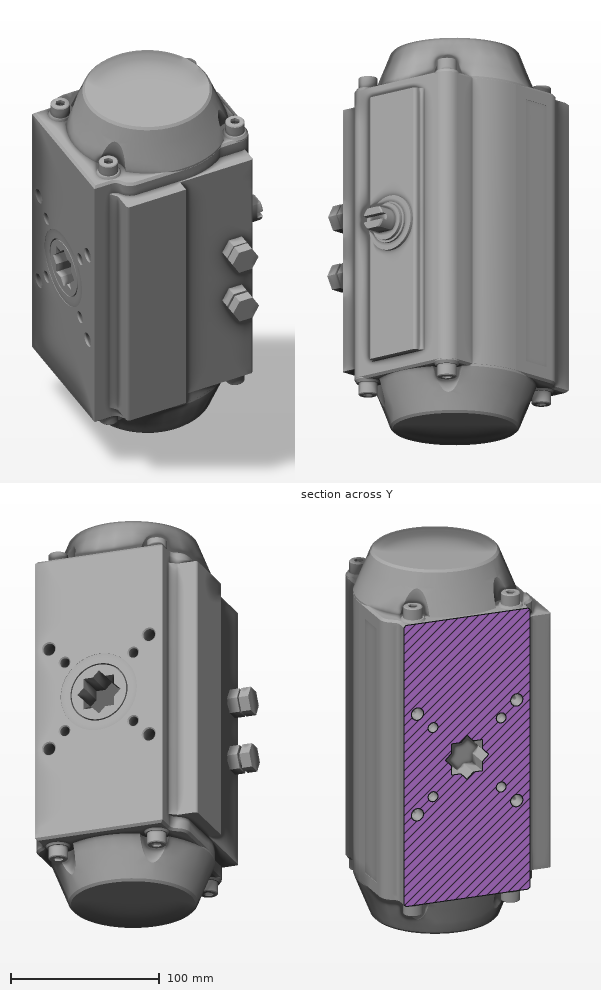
import cadquery as cq
import math

CYLINDER_R = 55.0
HOUSING_HALF_LENGTH = 100.9
END_CHAMFER = 1.6
BASE_Y = -63.4
BASE_HALF_WIDTH = 46.0
TOP_Y = 57.0
EAR_R = 9.0
FLANK_LOW_Y = -36.0
FLANK_TURN = (49.2, -45.3)
BASE_WALL_TOP_Y = -50.0

RAIL_HALF_LENGTH = 91.0
PAD_Y = 63.6
PAD_HALF_WIDTH = 21.0
PAD_BLEND = 2.2

PORT_UPPER_X = 56.2
PORT_LOWER_X = 65.0
PORT_TOP_Y = 51.2
PORT_STEP_Y = -4.0
PORT_BOTTOM_Y = -48.2
PORT_FOOT = (51.0, -48.2)
PORT_ROOT_Y = -52.0
PORT_FILLET = 2.0
PORT_TOP_CHAMFER = 1.2

LABEL_Y = (-31.0, -10.0)
LABEL_DEPTH = 0.3

CAP_ROOT_Z = 90.0
CAP_TOP_Z = 130.5
CAP_BASE_R = 54.9
CAP_TOP_R = 43.6
CAP_ROUND = 1.6
CAP_SHOULDER_Z = 128.9
SCALLOP_R = 11.5
BOLT_X = 35.5
BOLT_Y = (48.0, -47.5)
BOSS_BASE_R = 8.9
BOSS_TOP_R = 7.5
BOSS_TOP_Z = 102.3
BOSS_RIM_Z = 100.3
BOLT_HEAD_R = 6.5
BOLT_HEAD_HEIGHT = 8.0
BOLT_HEAD_CHAMFER = 0.6
BOLT_SOCKET_AF = 6.0
BOLT_SOCKET_DEPTH = 4.0

SHAFT_TOP_Y = 83.3
SHAFT_R = 8.9
SHAFT_FLATS = 14.0
SHAFT_CHAMFER = 0.8
SHAFT_SLOT_WIDTH = 4.2
SHAFT_SLOT_DEPTH = 4.5
COLLARS = ((18.75, 65.9), (14.0, 67.5), (12.5, 69.9))

SPIGOT_R = 27.5
SPIGOT_DEPTH = 0.3
PINION_OUTER_R = 20.6
PINION_INNER_R = 19.7
PINION_GAP_DEPTH = 3.0
STAR_SIDE = 22.0
STAR_DEPTH = 24.0
TAPPED_HOLES = (
    (102.0, 8.5, 10.2, 16.0),
    (70.0, 6.8, 8.5, 13.0),
)
DRILL_POINT_HALF_ANGLE = math.radians(59)

STOP_Y = 37.3
STOP_Z = 20.5
STOP_AF = 17.0
STOP_SHANK_R = 6.0
STOP_WASHER_R = 7.5
STOP_ROOT_DEPTH = 1.0
NUT_X = (57.0, 64.1)
STOP_HEAD_LENGTH = 7.0
STOP_HEAD_END = ((STOP_Z, 72.2), (-STOP_Z, 73.0))


def extrude_z(profile, half_length):
    return profile.extrude(half_length, both=True)


def y_cylinder(radius, y_low, y_high):
    plane = cq.Workplane("XZ", origin=(0, y_low, 0))
    return plane.circle(radius).extrude(y_low - y_high)


def make_housing():
    side_x = BOLT_X + EAR_R
    side_meet_y = math.sqrt(CYLINDER_R**2 - side_x**2)
    ear_y = TOP_Y - EAR_R
    bulge = math.atan2(side_meet_y, side_x) / 2
    bulge_x = CYLINDER_R * math.cos(bulge)
    bulge_y = CYLINDER_R * math.sin(bulge)
    ear_mid = EAR_R * math.sqrt(0.5)
    turn_x, turn_y = FLANK_TURN
    profile = (
        cq.Workplane("XY")
        .moveTo(0, TOP_Y)
        .lineTo(-BOLT_X, TOP_Y)
        .threePointArc((-BOLT_X - ear_mid, ear_y + ear_mid), (-side_x, ear_y))
        .lineTo(-side_x, side_meet_y)
        .threePointArc((-bulge_x, bulge_y), (-CYLINDER_R, 0))
        .lineTo(-CYLINDER_R, FLANK_LOW_Y)
        .tangentArcPoint((-turn_x, turn_y), relative=False)
        .tangentArcPoint((-BASE_HALF_WIDTH, BASE_WALL_TOP_Y), relative=False)
        .lineTo(-BASE_HALF_WIDTH, BASE_Y)
        .lineTo(0, BASE_Y)
        .mirrorY()
    )
    housing = extrude_z(profile, HOUSING_HALF_LENGTH)
    return housing.faces("|Z").edges().chamfer(END_CHAMFER)


def make_top_pad():
    half = PAD_HALF_WIDTH
    blend = PAD_BLEND
    profile = (
        cq.Workplane("XY")
        .moveTo(-half, 0)
        .lineTo(-half - blend, 0)
        .lineTo(-half - blend, TOP_Y)
        .tangentArcPoint((-half, TOP_Y + blend), relative=False)
        .lineTo(-half, PAD_Y - blend)
        .tangentArcPoint((-half + blend, PAD_Y), relative=False)
        .lineTo(0, PAD_Y)
        .lineTo(0, 0)
        .close()
    )
    left = extrude_z(profile, RAIL_HALF_LENGTH)
    return left.union(left.mirror("YZ"))


def make_port_block():
    profile = (
        cq.Workplane("XY")
        .moveTo(0, PORT_TOP_Y)
        .lineTo(PORT_UPPER_X - PORT_TOP_CHAMFER, PORT_TOP_Y)
        .lineTo(PORT_UPPER_X, PORT_TOP_Y - PORT_TOP_CHAMFER)
        .lineTo(PORT_UPPER_X, PORT_STEP_Y)
        .lineTo(PORT_LOWER_X, PORT_STEP_Y)
        .lineTo(PORT_LOWER_X, PORT_BOTTOM_Y + PORT_FILLET)
        .tangentArcPoint((PORT_LOWER_X - PORT_FILLET, PORT_BOTTOM_Y), relative=False)
        .lineTo(*PORT_FOOT)
        .lineTo(BASE_HALF_WIDTH, PORT_ROOT_Y)
        .lineTo(0, PORT_ROOT_Y)
        .close()
    )
    return extrude_z(profile, RAIL_HALF_LENGTH)


def make_label_recess():
    y_low, y_high = LABEL_Y
    recess = cq.Workplane("XY").box(LABEL_DEPTH, y_high - y_low, 2 * RAIL_HALF_LENGTH)
    return recess.translate((-CYLINDER_R + LABEL_DEPTH / 2, (y_low + y_high) / 2, 0))


def make_bolt(x, y):
    rim_root_z = HOUSING_HALF_LENGTH - END_CHAMFER
    rim = cq.Workplane("XY", origin=(x, y, rim_root_z)).circle(BOSS_BASE_R).extrude(BOSS_RIM_Z - rim_root_z)
    cone_height = BOSS_TOP_Z - BOSS_RIM_Z
    taper = math.degrees(math.atan((BOSS_BASE_R - BOSS_TOP_R) / cone_height))
    cone_plane = cq.Workplane("XY", origin=(x, y, BOSS_RIM_Z))
    cone = cone_plane.circle(BOSS_BASE_R).extrude(cone_height, taper=taper)
    head = (
        cq.Workplane("XY", origin=(x, y, BOSS_TOP_Z))
        .circle(BOLT_HEAD_R)
        .extrude(BOLT_HEAD_HEIGHT)
        .faces(">Z")
        .chamfer(BOLT_HEAD_CHAMFER)
        .faces(">Z")
        .workplane()
        .polygon(6, BOLT_SOCKET_AF, circumscribed=True)
        .cutBlind(-BOLT_SOCKET_DEPTH)
    )
    return rim.union(cone).union(head)


def make_end_cap():
    dome = (
        cq.Workplane("XZ")
        .moveTo(0, CAP_ROOT_Z)
        .lineTo(CAP_BASE_R, CAP_ROOT_Z)
        .lineTo(CAP_BASE_R, HOUSING_HALF_LENGTH)
        .lineTo(CAP_TOP_R, CAP_SHOULDER_Z)
        .lineTo(CAP_TOP_R - CAP_ROUND, CAP_TOP_Z)
        .lineTo(0, CAP_TOP_Z)
        .close()
        .revolve(360, (0, 0, 0), (0, 1, 0))
    )
    spots = [(x, y) for x in (-BOLT_X, BOLT_X) for y in BOLT_Y]
    scallops = (
        cq.Workplane("XY", origin=(0, 0, HOUSING_HALF_LENGTH))
        .pushPoints(spots)
        .circle(SCALLOP_R)
        .extrude(CAP_TOP_Z)
    )
    cap = dome.cut(scallops)
    for x, y in spots:
        cap = cap.union(make_bolt(x, y))
    return cap


def make_shaft():
    shaft = y_cylinder(SHAFT_R, 0, SHAFT_TOP_Y).faces(">Y").chamfer(SHAFT_CHAMFER)
    flats = cq.Workplane("XY").box(2 * SHAFT_R, 2 * SHAFT_TOP_Y, SHAFT_FLATS)
    slot = cq.Workplane("XY").box(2 * SHAFT_R, 2 * SHAFT_SLOT_DEPTH, SHAFT_SLOT_WIDTH)
    shaft = shaft.intersect(flats).cut(slot.translate((0, SHAFT_TOP_Y, 0)))
    for radius, top_y in COLLARS:
        shaft = shaft.union(y_cylinder(radius, 0, top_y))
    return shaft


def make_mounting_cuts():
    cuts = y_cylinder(SPIGOT_R, BASE_Y, BASE_Y + SPIGOT_DEPTH)
    gap_end = BASE_Y + PINION_GAP_DEPTH
    gap = y_cylinder(PINION_OUTER_R, BASE_Y, gap_end).cut(y_cylinder(PINION_INNER_R, BASE_Y, gap_end))
    cuts = cuts.union(gap)
    square = cq.Workplane("XY").box(STAR_SIDE, STAR_DEPTH, STAR_SIDE)
    star = square.union(square.rotate((0, 0, 0), (0, 1, 0), 45))
    cuts = cuts.union(star.translate((0, BASE_Y + STAR_DEPTH / 2, 0)))
    for pitch_circle, bore, mouth, depth in TAPPED_HOLES:
        mouth_depth = (mouth - bore) / 2
        point_depth = bore / 2 / math.tan(DRILL_POINT_HALF_ANGLE)
        hole = (
            cq.Workplane("XY")
            .moveTo(0, 0)
            .lineTo(mouth / 2, 0)
            .lineTo(bore / 2, mouth_depth)
            .lineTo(bore / 2, depth)
            .lineTo(0, depth + point_depth)
            .close()
            .revolve(360, (0, 0, 0), (0, 1, 0))
        )
        offset = pitch_circle / 2 * math.sqrt(0.5)
        for x in (-offset, offset):
            for z in (-offset, offset):
                cuts = cuts.union(hole.translate((x, BASE_Y, z)))
    return cuts


def make_travel_stop(z, head_end_x):
    root_x = PORT_UPPER_X - STOP_ROOT_DEPTH

    def round_bar(radius, x_high):
        return cq.Workplane("YZ", origin=(root_x, STOP_Y, z)).circle(radius).extrude(x_high - root_x)

    def hexagon(x_low, x_high):
        plane = cq.Workplane("YZ", origin=(x_low, STOP_Y, z)).transformed(rotate=(0, 0, 90))
        return plane.polygon(6, STOP_AF, circumscribed=True).extrude(x_high - x_low)

    stop = round_bar(STOP_SHANK_R, head_end_x)
    stop = stop.union(round_bar(STOP_WASHER_R, NUT_X[0]))
    stop = stop.union(hexagon(*NUT_X))
    return stop.union(hexagon(head_end_x - STOP_HEAD_LENGTH, head_end_x))


housing = make_housing()
top_pad = make_top_pad()
port_block = make_port_block()
end_cap = make_end_cap()

result = housing.union(top_pad).union(port_block)
result = result.union(end_cap).union(end_cap.mirror("XY"))
result = result.union(make_shaft())
for stop_z, stop_end_x in STOP_HEAD_END:
    result = result.union(make_travel_stop(stop_z, stop_end_x))
result = result.cut(make_label_recess()).cut(make_mounting_cuts())